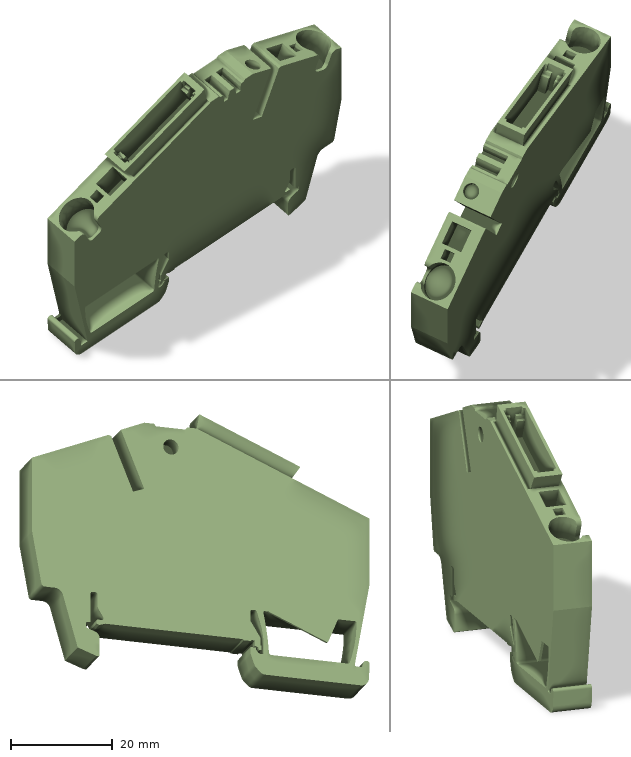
import cadquery as cq
import math

WIDTH = 8.1
HALF_WIDTH = WIDTH / 2
END_Y = 35.0
ROOF_ANGLE = math.radians(22.5)
ROOF_RISE = math.tan(ROOF_ANGLE)
ROOF_SIN = math.sin(ROOF_ANGLE)
ROOF_COS = math.cos(ROOF_ANGLE)

BACK_EAVE_Z = 40.0
CREST_Z = 49.95
CREST_FRONT_Y = 0.85
CREST_BACK_Y = 11.75
FRONT_EAVE_Z = CREST_Z - (END_Y + CREST_FRONT_Y) * ROOF_RISE

SLIT_LIP_Y = 18.75
SLIT_CHAMFER = 0.4
SLIT_CREST_LIP = (16.6, 47.9)
SLIT_BOTTOM = [(14.05, 35.25), (11.75, 36.1)]

CHANNEL_BACK_Y = 9.7
CHANNEL_FRONT_Y = 2.9
CHANNEL_DEPTH = 0.5
CHANNEL_WALL_RUN = 0.4
CHANNEL_Z = CREST_Z - CHANNEL_DEPTH

GROOVE_START_X = -1.4
GROOVE_MIDDLE_Y = 6.3
GROOVE_NEAR = 0.55
GROOVE_FAR = 2.45
GROOVE_BEND_DEPTH = 0.85
GROOVE_DEPTH = 2.1
GROOVE_WALL_RUN = 0.3

BASE_Z = 6.9
CLEARANCE_Z = 13.3
SILL_Z = 4.3

WEB = 0.55
TOOTH = [(-14.0, CLEARANCE_Z), (-26.3, 8.2), (-28.4, CLEARANCE_Z)]
STRUT_TOP = (-END_Y, 21.55)
SPRING_GAP = [(-33.4, 3.85), (-31.8, 3.85)]
SPRING_GAP_Z = 2.45

TEST_HOLE_DIAMETER = 3.2
TEST_HOLE_X = 1.7
TEST_HOLE_Y = 13.7
TEST_HOLE_DEPTH = 1.7
SIDE_HOLE_DIAMETER = 3.15
SIDE_HOLE_Y = 6.2
SIDE_HOLE_Z = 45.5
SIDE_HOLE_DEPTH = 3.5

TERMINAL_MIDDLE_Y = 0.1
SCREW_REACH = 31.05
RELEASE_REACH = 26.1
WIRE_REACH = 22.25
SCREW_X = 0.1
SCREW_WIDTH = 6.85
SCREW_LENGTH = 7.6
SCREW_DEPTH = 5.4
ENTRY_X = 0.5
ENTRY_DEPTH = 6.15
WIRE_WIDTH = 4.3
WIRE_LENGTH = 4.75
RELEASE_WIDTH = 2.2
RELEASE_LENGTH = 2.0
NOTCH_START_X = 2.3
NOTCH_WIDTH = 3.5
NOTCH_RADIUS = 1.1
NOTCH_DEPTH = 4.6

INSERT_X = 0.1
INSERT_Y = -9.15
INSERT_HEIGHT = 3.6
INSERT_WIDTH = 5.95
INSERT_BASE_LENGTH = 21.1
INSERT_TOP_LENGTH = 22.65
GAP_WIDTH = 0.6
GAP_DEPTH = 0.5
CAVITY_DEPTH = 6.8
INSERT_FLOOR = 0.7
ROOT_DEPTH = CAVITY_DEPTH + INSERT_FLOOR - INSERT_HEIGHT
CAVITY_WIDTH = 4.6
CHEEK_REACH = 8.6
LEDGE_REACH = 9.2
RIM_REACH = 9.45
HEAD_REACH = 10.0
LEDGE_DEPTH = 2.5
HEAD_DEPTH = 1.8
HEAD_WIDTH = 3.6
STEM_WIDTH = 1.25


def back_roof_z(y):
    return BACK_EAVE_Z + (END_Y - y) * ROOF_RISE


def front_roof_z(y):
    return CREST_Z + (y - CREST_FRONT_Y) * ROOF_RISE


def roof_plane(x, y):
    """Plane on the roof at (x, y): local x is X, local z points out of the roof."""
    if y > 0:
        return cq.Plane(origin=(x, y, back_roof_z(y)), xDir=(1, 0, 0), normal=(0, ROOF_SIN, ROOF_COS))
    return cq.Plane(origin=(x, y, front_roof_z(y)), xDir=(1, 0, 0), normal=(0, -ROOF_SIN, ROOF_COS))


def lengthwise_plane(x, y):
    """Plane square to X at a roof point: local x climbs along +Y, local y points out of the roof."""
    across = roof_plane(x, y)
    return cq.Plane(origin=across.origin, xDir=across.yDir, normal=(1, 0, 0))


def rounded_outline(corners):
    """Closed wire in the YZ plane. A corner is (y, z), or (y, z, radius) when it is rounded."""
    path = cq.Workplane("YZ", origin=(-HALF_WIDTH, 0, 0))
    count = len(corners)
    started = False
    for i, corner in enumerate(corners):
        here = cq.Vector(corner[0], corner[1])
        stops = [here]
        if len(corner) == 3:
            radius = corner[2]
            before = corners[i - 1]
            after = corners[(i + 1) % count]
            back = (cq.Vector(before[0], before[1]) - here).normalized()
            ahead = (cq.Vector(after[0], after[1]) - here).normalized()
            half_angle = back.getAngle(ahead) / 2
            setback = radius / math.tan(half_angle)
            bisector = (back + ahead).normalized()
            middle = here + bisector * (radius / math.sin(half_angle) - radius)
            stops = [here + back * setback, middle, here + ahead * setback]
        first = (stops[0].x, stops[0].y)
        if started:
            path = path.lineTo(*first)
        else:
            path = path.moveTo(*first)
            started = True
        if len(stops) == 3:
            path = path.threePointArc((stops[1].x, stops[1].y), (stops[2].x, stops[2].y))
    return path.close()


def housing_outline():
    roof = [
        (-END_Y, FRONT_EAVE_Z),
        (CREST_FRONT_Y, CREST_Z),
        (CHANNEL_FRONT_Y, CREST_Z),
        (CHANNEL_FRONT_Y + CHANNEL_WALL_RUN, CHANNEL_Z),
        (CHANNEL_BACK_Y - CHANNEL_WALL_RUN, CHANNEL_Z),
        (CHANNEL_BACK_Y, CREST_Z),
        (CREST_BACK_Y, CREST_Z),
        SLIT_CREST_LIP,
        *reversed(SLIT_BOTTOM),
        (SLIT_LIP_Y - SLIT_CHAMFER * ROOF_SIN, back_roof_z(SLIT_LIP_Y) - SLIT_CHAMFER * ROOF_COS),
        (SLIT_LIP_Y + SLIT_CHAMFER * ROOF_COS, back_roof_z(SLIT_LIP_Y) - SLIT_CHAMFER * ROOF_SIN),
        (END_Y, BACK_EAVE_Z),
    ]
    back_foot = [
        (END_Y, 24.55),
        (32.95, CLEARANCE_Z, 0.7),
        (28.95, CLEARANCE_Z, 1.75),
        (25.5, 1.3),
        (21.7, 0),
        (21.0, 0, 0.2),
        (21.0, 4.7, 1.25),
        (23.8, 5.75, 0.35),
        (23.8, BASE_Z, 0.35),
        (22.9, BASE_Z),
        (22.9, CLEARANCE_Z, 0.4),
        (21.4, CLEARANCE_Z, 0.4),
        (21.4, 10.15, 1.4),
        (19.9, 7.6, 0.35),
        (21.6, 7.6, 0.3),
        (21.6, 6.8),
        (21.05, 6.5),
        (19.9, BASE_Z),
    ]
    latch = [
        (-8.7, BASE_Z),
        (-8.9, 6.7),
        (-10.35, 6.7),
        (-10.5, BASE_Z),
        (-11.2, BASE_Z),
        (-11.2, 5.8),
        (-11.8, 5.6),
        (-12.1, 5.05),
        (-12.6, 5.05),
        (-12.6, 5.95),
        (-12.4, 6.0),
        (-12.4, 7.55),
        (-10.3, 10.9),
        (-10.3, CLEARANCE_Z, 0.4),
        (-11.5, CLEARANCE_Z, 0.4),
        (-13.0, 8.7, 17.5),
        (-13.0, SILL_Z, 0.3),
        (-12.1, SILL_Z),
        (-11.4, 5.05),
        (-11.4, 5.45),
    ]
    front_foot = [
        (-10.3, 5.45),
        (-10.3, 4.05, 1.4),
        (-11.2, 1.55, 1.4),
        (-12.7, 0, 1.4),
        (-34.8, 0, 1.75),
        (-END_Y, 5.25, 0.55),
        (-33.85, 5.25, 0.55),
        SPRING_GAP[0],
        (*SPRING_GAP[1], 0.35),
        STRUT_TOP,
    ]
    return rounded_outline(roof + back_foot + latch + front_foot)


def foot_window():
    """Opening that leaves the front foot hanging on two flexible struts."""
    corners = [
        (-12.9, CLEARANCE_Z, 0.3),
        TOOTH[0],
        (*TOOTH[1], 0.35),
        TOOTH[2],
        (-32.25, CLEARANCE_Z, 0.3),
        (-32.25, 9.2, 24.5),
        (-30.8, SILL_Z, 0.5),
        (-14.1, SILL_Z, 0.5),
        (-13.8, 8.8, 52.45),
    ]
    return rounded_outline(corners).extrude(WIDTH)


def beyond_web(outline):
    """Cutter that leaves only the thin web on the -X side."""
    return cq.Workplane("YZ", origin=(WEB - HALF_WIDTH, 0, 0)).polyline(outline).close().extrude(WIDTH)


def tooth_relief():
    return beyond_web(TOOTH)


def spring_gap_relief():
    """Deepens the gap behind the web, with its strut side in line with the strut."""
    tail_side, strut_side = SPRING_GAP
    lean = (strut_side[0] - STRUT_TOP[0]) / (STRUT_TOP[1] - strut_side[1])
    strut_foot = strut_side[0] + lean * (strut_side[1] - SPRING_GAP_Z)
    return beyond_web([tail_side, (tail_side[0], SPRING_GAP_Z), (strut_foot, SPRING_GAP_Z), STRUT_TOP])


def roof_pocket(x, y, width, length, depth):
    return cq.Workplane(roof_plane(x, y)).rect(width, length).extrude(-depth)


def screw_notch(y):
    """Slot with rounded shoulders and bottom from the screw recess out through the +X side."""
    wall = NOTCH_WIDTH / 2
    mouth = wall + NOTCH_RADIUS
    flat = wall - NOTCH_RADIUS
    bend = NOTCH_RADIUS * (1 - math.sqrt(0.5))
    wall_foot = NOTCH_RADIUS - NOTCH_DEPTH
    return (
        cq.Workplane(lengthwise_plane(NOTCH_START_X, y))
        .moveTo(-mouth, 0)
        .threePointArc((-wall - bend, -bend), (-wall, -NOTCH_RADIUS))
        .lineTo(-wall, wall_foot)
        .threePointArc((-wall + bend, bend - NOTCH_DEPTH), (-flat, -NOTCH_DEPTH))
        .lineTo(flat, -NOTCH_DEPTH)
        .threePointArc((wall - bend, bend - NOTCH_DEPTH), (wall, wall_foot))
        .lineTo(wall, -NOTCH_RADIUS)
        .threePointArc((wall + bend, -bend), (mouth, 0))
        .close()
        .extrude(WIDTH)
    )


def terminal(side):
    """Screw recess, its notch, and the wire and release openings; side is +1 at the +Y end."""
    screw_y = TERMINAL_MIDDLE_Y + side * SCREW_REACH
    wire_y = TERMINAL_MIDDLE_Y + side * WIRE_REACH
    release_y = TERMINAL_MIDDLE_Y + side * RELEASE_REACH
    screw = (
        cq.Workplane(roof_plane(SCREW_X, screw_y))
        .ellipse(SCREW_WIDTH / 2, SCREW_LENGTH / 2)
        .extrude(-SCREW_DEPTH)
    )
    wire = roof_pocket(ENTRY_X, wire_y, WIRE_WIDTH, WIRE_LENGTH, ENTRY_DEPTH)
    release = roof_pocket(ENTRY_X, release_y, RELEASE_WIDTH, RELEASE_LENGTH, ENTRY_DEPTH)
    return [screw, screw_notch(screw_y), wire, release]


def contact_groove(side):
    """Groove with bent side walls in the channel floor, open at the +X side."""
    section = [
        (GROOVE_NEAR, 0),
        (GROOVE_NEAR + GROOVE_WALL_RUN, -GROOVE_BEND_DEPTH),
        (GROOVE_NEAR + 2 * GROOVE_WALL_RUN, -GROOVE_DEPTH),
        (GROOVE_FAR - GROOVE_WALL_RUN, -GROOVE_DEPTH),
        (GROOVE_FAR - GROOVE_WALL_RUN, -GROOVE_BEND_DEPTH),
        (GROOVE_FAR, 0),
    ]
    return (
        cq.Workplane("YZ", origin=(GROOVE_START_X, GROOVE_MIDDLE_Y, CHANNEL_Z))
        .polyline([(side * offset, height) for offset, height in section])
        .close()
        .extrude(WIDTH)
    )


def test_hole():
    return (
        cq.Workplane(roof_plane(TEST_HOLE_X, TEST_HOLE_Y))
        .circle(TEST_HOLE_DIAMETER / 2)
        .extrude(TEST_HOLE_DEPTH, both=True)
    )


def side_hole():
    return (
        cq.Workplane("YZ", origin=(-HALF_WIDTH, SIDE_HOLE_Y, SIDE_HOLE_Z))
        .circle(SIDE_HOLE_DIAMETER / 2)
        .extrude(SIDE_HOLE_DEPTH)
    )


def insert_root():
    """Straight part of the insert below the roof surface."""
    return roof_pocket(INSERT_X, INSERT_Y, INSERT_WIDTH, INSERT_BASE_LENGTH, ROOT_DEPTH)


def side_gaps():
    """Wedge that widens the insert's recess towards the roof surface, along both sides."""
    return (
        cq.Workplane(roof_plane(INSERT_X, INSERT_Y))
        .rect(INSERT_WIDTH + 2 * GAP_WIDTH, INSERT_BASE_LENGTH)
        .workplane(offset=-GAP_DEPTH)
        .rect(INSERT_WIDTH, INSERT_BASE_LENGTH)
        .loft(ruled=True)
    )


def insert_cavity():
    """Long cavity whose ends are stepped and carry a T-shaped recess."""
    top = INSERT_HEIGHT
    floor = top - CAVITY_DEPTH
    half_section = [
        (CHEEK_REACH, floor),
        (CHEEK_REACH, top - LEDGE_DEPTH),
        (LEDGE_REACH, top - LEDGE_DEPTH),
        (RIM_REACH, top - HEAD_DEPTH),
        (RIM_REACH, top),
    ]
    mirrored = [(-reach, height) for reach, height in reversed(half_section)]
    trough = (
        cq.Workplane(lengthwise_plane(INSERT_X, INSERT_Y))
        .polyline(half_section + mirrored)
        .close()
        .extrude(CAVITY_WIDTH / 2, both=True)
    )
    top_plane = cq.Workplane(roof_plane(INSERT_X, INSERT_Y)).workplane(offset=top)
    head = top_plane.rect(HEAD_WIDTH, 2 * HEAD_REACH).extrude(-HEAD_DEPTH)
    stem = top_plane.rect(STEM_WIDTH, 2 * HEAD_REACH).extrude(-CAVITY_DEPTH)
    return trough.union(head).union(stem)


def make_insert():
    half_base = INSERT_BASE_LENGTH / 2
    half_top = INSERT_TOP_LENGTH / 2
    side = [(-half_base, 0), (half_base, 0), (half_top, INSERT_HEIGHT), (-half_top, INSERT_HEIGHT)]
    hood = (
        cq.Workplane(lengthwise_plane(INSERT_X, INSERT_Y))
        .polyline(side)
        .close()
        .extrude(INSERT_WIDTH / 2, both=True)
    )
    return hood.union(insert_root()).cut(insert_cavity())


def make_housing():
    body = housing_outline().extrude(WIDTH)
    cutters = [foot_window(), tooth_relief(), spring_gap_relief(), test_hole(), side_hole()]
    cutters += [insert_root(), side_gaps()]
    for side in (1, -1):
        cutters += terminal(side)
        cutters.append(contact_groove(side))
    for cutter in cutters:
        body = body.cut(cutter)
    return body


housing = make_housing()
insert = make_insert()

result = cq.Compound.makeCompound([housing.val(), insert.val()])